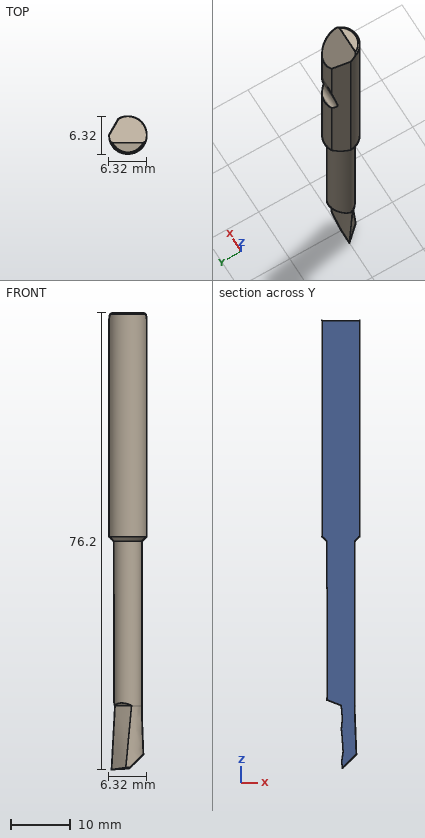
import cadquery as cq
import math

total_length = 76.2
shank_radius = 3.16
neck_radius = 2.4
shoulder_top = 38.9
shoulder_height = shank_radius - neck_radius
end_chamfer = 0.3
flat_normal_angle = 150
flat_sector_angle = 60
end_bevel_start_y = -1.3

notch_bottom = 56.15
notch_top = 64.15
notch_depth = 1.3
notch_round = 1.1

blade_top = 10.7
tip_radius = 2.75
blade_twist = 23
relief_sector_angle = 82
relief_ledge_height = 0.45
tip_rise = 0.4
nose_start_x = 0.15
nose_start_z = 0.15
nose_height = 2.5

clearance = 7.6


def polar(radius, angle):
    """Point at the given radius and angle in degrees."""
    radians = math.radians(angle)
    return (radius * math.cos(radians), radius * math.sin(radians))


def side_cutter(points, normal_angle):
    """Prism from a (radial, Z) profile, facing outward at normal_angle."""
    prism = cq.Workplane("XZ").polyline(points).close().extrude(clearance, both=True)
    return prism.rotate((0, 0, 0), (0, 0, 1), normal_angle)


def make_shank():
    shoulder_bottom = shoulder_top - shoulder_height
    profile = [
        (0, shoulder_bottom),
        (neck_radius, shoulder_bottom),
        (shank_radius, shoulder_top),
        (shank_radius, total_length - end_chamfer),
        (shank_radius - end_chamfer, total_length),
        (0, total_length),
    ]
    shank = cq.Workplane("XZ").polyline(profile).close().revolve(360, (0, 0), (0, 1))

    flat_distance = shank_radius * math.cos(math.radians(flat_sector_angle / 2))
    flat_profile = [
        (flat_distance, shoulder_bottom),
        (clearance, shoulder_bottom),
        (clearance, total_length),
        (flat_distance, total_length),
    ]
    shank = shank.cut(side_cutter(flat_profile, flat_normal_angle))

    bevel_profile = [
        (end_bevel_start_y, total_length),
        (clearance, total_length),
        (clearance, total_length - (clearance - end_bevel_start_y)),
    ]
    return shank.cut(side_cutter(bevel_profile, 90))


def make_notch():
    """Sloping notch with a rounded lower corner, cut along X."""
    floor_y = shank_radius - notch_depth
    round_offset = notch_round * math.sqrt(0.5)
    round_middle = (
        floor_y + notch_round - round_offset,
        notch_bottom + notch_round - round_offset,
    )
    return (
        cq.Workplane("YZ")
        .moveTo(shank_radius, notch_top)
        .lineTo(floor_y, notch_bottom + notch_round)
        .threePointArc(round_middle, (floor_y + notch_round, notch_bottom))
        .lineTo(clearance, notch_bottom)
        .lineTo(clearance, notch_top)
        .close()
        .extrude(clearance, both=True)
    )


def make_neck():
    neck_length = shoulder_top - blade_top
    neck = cq.Workplane("XY").workplane(offset=blade_top).circle(neck_radius).extrude(neck_length)

    runout_profile = [
        (0, blade_top),
        (clearance, blade_top),
        (clearance, blade_top + clearance),
    ]
    neck = neck.cut(side_cutter(runout_profile, 90 + blade_twist))

    half_sector = relief_sector_angle / 2
    chord_distance = neck_radius * math.cos(math.radians(half_sector))
    ledge_slope = relief_ledge_height / (neck_radius - chord_distance)
    ledge_profile = [
        (chord_distance, blade_top),
        (clearance, blade_top),
        (clearance, blade_top + ledge_slope * (clearance - chord_distance)),
    ]
    return neck.cut(side_cutter(ledge_profile, 180 + blade_twist + half_sector))


def blade_section(plane, radius, twist):
    """Half disc below the rake face, with its cutting side trimmed by a chord."""
    relief_end = 180 + twist + relief_sector_angle
    arc_end = 360 + twist
    return (
        plane.moveTo(*polar(radius, 180 + twist))
        .lineTo(*polar(radius, relief_end))
        .threePointArc(polar(radius, (relief_end + arc_end) / 2), polar(radius, arc_end))
        .close()
    )


def make_blade():
    tip = blade_section(cq.Workplane("XY"), tip_radius, 0)
    blade = blade_section(tip.workplane(offset=blade_top), neck_radius, blade_twist).loft(ruled=True)

    end_relief = (
        cq.Workplane("YZ")
        .polyline([(0, 0), (-tip_radius, 0), (-tip_radius, tip_rise)])
        .close()
        .extrude(clearance, both=True)
    )
    blade = blade.cut(end_relief)

    nose = (
        cq.Workplane("XZ")
        .polyline([
            (-tip_radius, 0),
            (nose_start_x, nose_start_z),
            (tip_radius, nose_start_z + nose_height),
            (tip_radius, 0),
        ])
        .close()
        .extrude(clearance, both=True)
    )
    return blade.cut(nose)


shank = make_shank().cut(make_notch())
result = shank.union(make_neck()).union(make_blade())